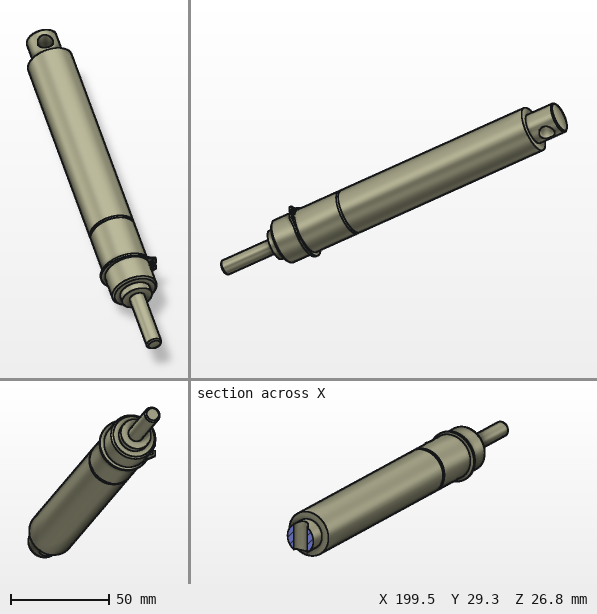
import cadquery as cq

overall_length = 199.5
body_start = 15.5
groove_start = 124.7
groove_width = 1.2
body_end = 165.2
boss_end = 169.0

eye_radius = 8.0
body_diameter = 23.7
body_radius = body_diameter / 2
rod_radius = 4.0
groove_depth = 0.5

eye_chamfer = 0.5
body_chamfer = 1.0
rod_chamfer = 0.8

hole_radius = 4.0
hole_x = 7.5

ring_start = 150.5
ring_thickness = 1.2
ring_radius = 13.4
ring_offset = -0.5
ring_inner_radius = 11.4
lug_tip_y = 15.4
lug_tip_z = 4.2
lug_root_y = 10.4
lug_root_z = 6.8
ring_gap = 2.8
lug_hole_radius = 1.0
lug_hole_y = 13.2
lug_hole_z = 2.8


def cylinder(start, end, radius):
    """Cylinder on the X axis between two stations."""
    return cq.Workplane("YZ", origin=(start, 0, 0)).circle(radius).extrude(end - start)


def make_eye():
    eye = cylinder(0, body_start, eye_radius).faces("<X").chamfer(eye_chamfer)
    cross_hole = (
        cq.Workplane("XY")
        .center(hole_x, 0)
        .circle(hole_radius)
        .extrude(eye_radius, both=True)
    )
    return eye.cut(cross_hole)


def make_body():
    body = cylinder(body_start, body_end, body_radius).faces(">X").chamfer(body_chamfer)
    groove_end = groove_start + groove_width
    groove = (
        cq.Workplane("XY")
        .moveTo(groove_start, body_radius)
        .threePointArc(
            (groove_start + groove_width / 2, body_radius - groove_depth),
            (groove_end, body_radius),
        )
        .close()
        .revolve(360, (0, 0, 0), (1, 0, 0))
    )
    return body.cut(groove)


def make_rod():
    rod = cylinder(boss_end, overall_length, rod_radius)
    return rod.faces(">X").chamfer(rod_chamfer)


def make_ring():
    plane = cq.Workplane("YZ", origin=(ring_start, 0, 0))
    ring = plane.center(ring_offset, 0).circle(ring_radius).extrude(ring_thickness)
    lugs = plane.polyline([
        (0, -lug_root_z),
        (lug_root_y, -lug_root_z),
        (lug_tip_y, -lug_tip_z),
        (lug_tip_y, lug_tip_z),
        (lug_root_y, lug_root_z),
        (0, lug_root_z),
    ]).close().extrude(ring_thickness)
    bore = plane.circle(ring_inner_radius).extrude(ring_thickness)
    gap = plane.center(lug_tip_y / 2, 0).rect(lug_tip_y, ring_gap).extrude(ring_thickness)
    lug_holes = (
        plane.pushPoints([(lug_hole_y, lug_hole_z), (lug_hole_y, -lug_hole_z)])
        .circle(lug_hole_radius)
        .extrude(ring_thickness)
    )
    return ring.union(lugs).cut(bore).cut(gap).cut(lug_holes)


boss = cylinder(body_end, boss_end, eye_radius)
result = make_body().union(make_eye()).union(boss).union(make_rod()).union(make_ring())